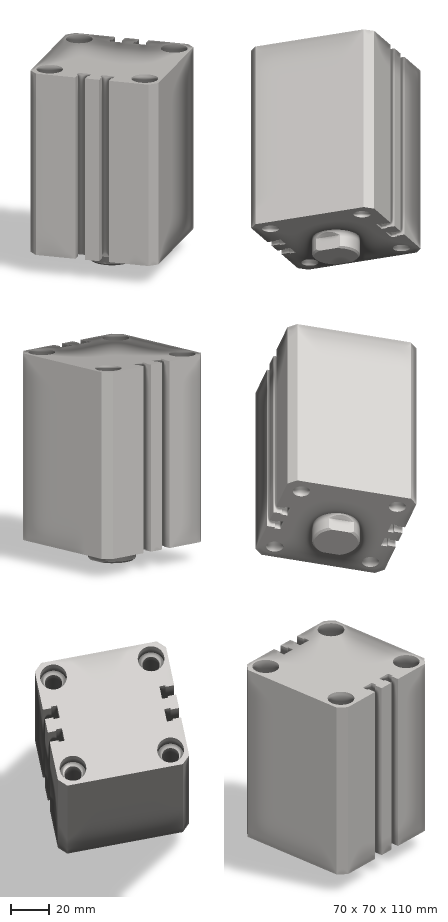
import cadquery as cq

TOTAL_HEIGHT = 110.0
HOUSING_WIDTH = 70.0
ROD_PROJECTION = 10.0
HOUSING_HEIGHT = TOTAL_HEIGHT - ROD_PROJECTION
CORNER_CHAMFER = 4.2

HOLE_PITCH = 52.0
HOLE_DIAMETER = 9.0
COUNTERBORE_DIAMETER = 14.0
COUNTERBORE_DEPTH = 9.0

SLOT_SPACING = 13.0
SLOT_MOUTH_WIDTH = 5.3
SLOT_INNER_WIDTH = 7.0
SLOT_MOUTH_DEPTH = 4.5
SLOT_DEPTH = 7.7

ROD_DIAMETER = 25.0
ROD_TIP_CHAMFER = 1.0
ACROSS_FLATS = 21.0
FLAT_HEIGHT = 7.0
FLAT_CUT_DEPTH = (ROD_DIAMETER - ACROSS_FLATS) / 2


def make_t_slot(center_x, side):
    """T-slot running the full height; side is +1 for the +Y face, -1 for the -Y face."""
    face_y = side * HOUSING_WIDTH / 2
    inner_depth = SLOT_DEPTH - SLOT_MOUTH_DEPTH
    mouth = (
        cq.Workplane("XY")
        .center(center_x, face_y - side * SLOT_DEPTH / 2)
        .rect(SLOT_MOUTH_WIDTH, SLOT_DEPTH)
        .extrude(HOUSING_HEIGHT)
    )
    inner = (
        cq.Workplane("XY")
        .center(center_x, face_y - side * (SLOT_DEPTH - inner_depth / 2))
        .rect(SLOT_INNER_WIDTH, inner_depth)
        .extrude(HOUSING_HEIGHT)
    )
    return mouth.union(inner)


def make_housing():
    """Square block standing on Z = 0, with counterbored corner holes and T-slots."""
    block = (
        cq.Workplane("XY")
        .rect(HOUSING_WIDTH, HOUSING_WIDTH)
        .extrude(HOUSING_HEIGHT)
        .edges("|Z")
        .chamfer(CORNER_CHAMFER)
    )
    block = (
        block.faces(">Z")
        .workplane(origin=(0, 0, 0))
        .rect(HOLE_PITCH, HOLE_PITCH, forConstruction=True)
        .vertices()
        .cboreHole(HOLE_DIAMETER, COUNTERBORE_DIAMETER, COUNTERBORE_DEPTH)
    )
    for side in (-1, 1):
        for center_x in (-SLOT_SPACING / 2, SLOT_SPACING / 2):
            block = block.cut(make_t_slot(center_x, side))
    return block


def make_flat_cutter():
    """Wedge-topped block that cuts the +X flat; its top slopes up and outward at 45 degrees."""
    tip_z = -ROD_PROJECTION
    flat_top_z = tip_z + FLAT_HEIGHT
    flat_x = ACROSS_FLATS / 2
    rod_x = ROD_DIAMETER / 2
    return (
        cq.Workplane("XZ")
        .polyline([
            (flat_x, tip_z),
            (rod_x, tip_z),
            (rod_x, flat_top_z + FLAT_CUT_DEPTH),
            (flat_x, flat_top_z),
        ])
        .close()
        .extrude(ROD_DIAMETER / 2, both=True)
    )


def make_rod():
    """Round rod end below the housing, with a chamfered tip and two wrench flats."""
    rod = (
        cq.Workplane("XY")
        .circle(ROD_DIAMETER / 2)
        .extrude(-ROD_PROJECTION)
        .faces("<Z")
        .chamfer(ROD_TIP_CHAMFER)
    )
    flat_cutter = make_flat_cutter()
    return rod.cut(flat_cutter).cut(flat_cutter.mirror("YZ"))


housing = make_housing()
rod = make_rod()

result = cq.Compound.makeCompound([housing.val(), rod.val()])